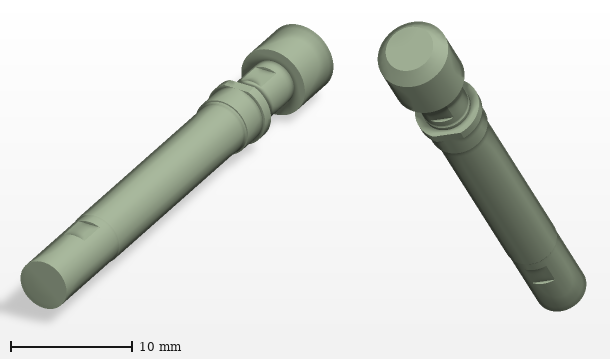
import cadquery as cq
import math

length = 43.2

head_dia = 6.1
neck_dia = 4.0
nose_dia = 4.1
flange_dia = 5.55
collar_dia = 5.0
body_taper_dia = 4.75
body_dia = 4.55
tail_dia = 4.4

head_length = 5.65
groove_start = 10.05
groove_width = 0.25
flange_start = 10.7
collar_start = 11.65
collar_end = 14.05
body_start = 14.25

tail_length = 8.5
tail_flat_end = 7.47

head_chamfer = 1.0
groove_depth = 0.15
tail_taper_length = 0.15

flat_length = 2.5
flat_width = 2.0
neck_flat_start = 6.83

head_end = length / 2
tail_end = -length / 2


def from_head(distance):
    """Y position at a distance from the head end."""
    return head_end - distance


def turned(start, end, start_dia, end_dia):
    """Cone between two Y positions, with start on the head side."""
    return (
        cq.Workplane("XY")
        .polyline([(0, start), (start_dia / 2, start), (end_dia / 2, end), (0, end)])
        .close()
        .revolve(360, (0, 0, 0), (0, 1, 0))
    )


def segment(start, end, diameter):
    """Cylinder between two Y positions, with start on the head side."""
    return turned(start, end, diameter, diameter)


def cut_flat_pair(solid, start, span, height):
    """Cut away everything outside +/-height in Z, over a span running from start toward the tail."""
    for side in (1, -1):
        cutter = cq.Workplane("XY").box(head_dia, span, head_dia)
        offset = side * (height + head_dia / 2)
        solid = solid.cut(cutter.translate((0, start - span / 2, offset)))
    return solid


def flat_height(diameter):
    """Distance from the axis at which a flat on this diameter has the flat width."""
    return math.sqrt((diameter / 2) ** 2 - (flat_width / 2) ** 2)


head = segment(head_end, from_head(head_length), head_dia).faces(">Y").chamfer(head_chamfer)

neck = segment(from_head(head_length), from_head(groove_start), neck_dia)
neck = cut_flat_pair(neck, from_head(neck_flat_start), flat_length, flat_height(neck_dia))

groove_dia = neck_dia - 2 * groove_depth
groove_middle = groove_start + groove_width / 2
groove_end = groove_start + groove_width
groove = turned(from_head(groove_start), from_head(groove_middle), neck_dia, groove_dia)
groove = groove.union(turned(from_head(groove_middle), from_head(groove_end), groove_dia, nose_dia))
nose = segment(from_head(groove_end), from_head(flange_start), nose_dia)

flange = segment(from_head(flange_start), from_head(collar_start), flange_dia)
flange = cut_flat_pair(flange, from_head(flange_start), collar_start - flange_start, collar_dia / 2)

collar = segment(from_head(collar_start), from_head(collar_end), collar_dia)

body_end = tail_end + tail_length
straight_end = body_end + tail_taper_length
body_taper = turned(from_head(collar_end), from_head(body_start), body_taper_dia, body_dia)
body = segment(from_head(body_start), straight_end, body_dia)
tail_taper = turned(straight_end, body_end, body_dia, tail_dia)

tail = segment(body_end, tail_end, tail_dia)
tail = cut_flat_pair(tail, tail_end + tail_flat_end, flat_length, flat_height(tail_dia))

result = head
for section in (neck, groove, nose, flange, collar, body_taper, body, tail_taper, tail):
    result = result.union(section)